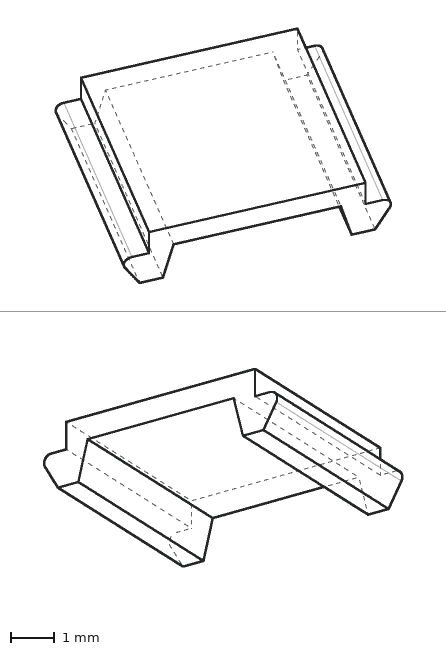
import cadquery as cq
import math

width = 5.15
length = 6.4
height = 1.6

plate_length = 5.185
plate_thickness = 0.59

ledge_drop = 0.69
nose_radius = 0.2
flank_angle = math.radians(30)
channel_top_length = 4.005
channel_bottom_length = 4.52

ledge_z = height - ledge_drop
channel_top_z = height - plate_thickness

nose_y = length / 2 - nose_radius
nose_z = ledge_z - nose_radius


def nose_point(angle):
    """Point on the nose arc at an angle above the +Y direction."""
    return (nose_y + nose_radius * math.cos(angle), nose_z + nose_radius * math.sin(angle))


flank_top = nose_point(-flank_angle)
foot_y = flank_top[0] - flank_top[1] * math.tan(flank_angle)


def half_body():
    """The +Y half of the profile, extruded across the width."""
    return (
        cq.Workplane("YZ")
        .moveTo(0, height)
        .lineTo(plate_length / 2, height)
        .lineTo(plate_length / 2, ledge_z)
        .lineTo(nose_y, ledge_z)
        .threePointArc(nose_point(0), flank_top)
        .lineTo(foot_y, 0)
        .lineTo(channel_bottom_length / 2, 0)
        .lineTo(channel_top_length / 2, channel_top_z)
        .lineTo(0, channel_top_z)
        .close()
        .extrude(width / 2, both=True)
    )


half = half_body()
result = half.union(half.mirror("XZ")).clean()